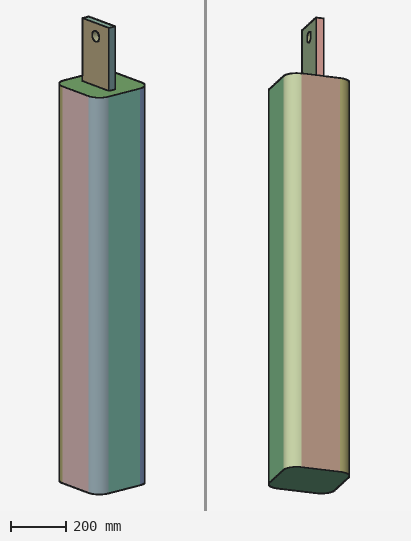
import cadquery as cq

total_height = 1750.0
post_side = 250.0
corner_radius = 50.0

lug_height = 240.0
lug_width = 150.0
lug_thickness = 30.0
hole_diameter = 40.0
hole_to_lug_top = 50.0

post_height = total_height - lug_height


def make_post():
    post = cq.Workplane("XY").rect(post_side, post_side).extrude(post_height)
    return post.edges("|Z").fillet(corner_radius)


def make_lug():
    lug = (
        cq.Workplane("XY")
        .workplane(offset=post_height)
        .center(0, -lug_thickness / 2)
        .rect(lug_width, lug_thickness)
        .extrude(lug_height)
    )
    hole = (
        cq.Workplane("XZ")
        .center(0, total_height - hole_to_lug_top)
        .circle(hole_diameter / 2)
        .extrude(lug_thickness)
    )
    return lug.cut(hole)


result = make_post().union(make_lug())